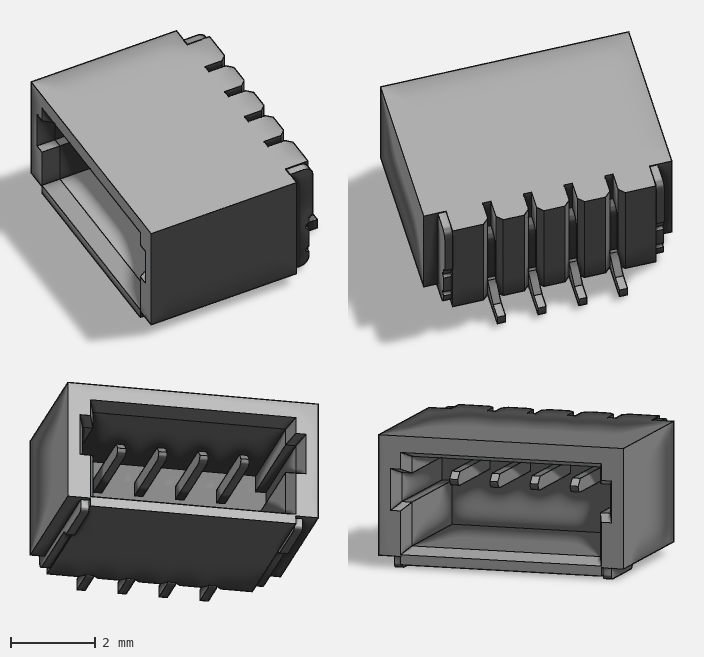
import cadquery as cq


width = 6.1
total_height = 3.2
shell_depth = 3.9
shell_bottom = 0.3
core_half_width = 2.5
core_bottom = 0.1
core_depth = 4.495

roof_thickness = 0.395
cavity_bottom = 0.34
cavity_back = shell_depth - roof_thickness
key_half_width = 2.75
key_top = 2.405
key_bottom = 1.395
taper_inset = 0.15
taper_depth = 0.4

contact_count = 4
contact_pitch = 1.0
contact_thickness = 0.2
beam_top = 2.21
beam_height = 0.33
beam_tip = 1.0
nose_radius = beam_height / 2
leg_back = 4.26
bend_radius = 0.2
web_back = 4.345
web_top = 0.635
foot_end = 5.22
foot_top = 0.325
foot_bottom = 0.055
foot_slope_end = 4.845
slot_chamfer = 0.14

clip_thickness = 0.2
clip_front = 0.145
clip_back = 4.52
clip_top = 3.18
clip_underside = 0.14
clip_radius = 0.25
clip_edge_step = 0.105
clip_step_top = 1.685
clip_foot_end = 1.685
clip_foot_slope_end = 1.87
clip_foot_radius = 0.1
notch_radius = 0.085
notch_heights = (1.325, 0.6)


def block(half_width, y_start, y_end, z_start, z_end):
    """Box centred on X = 0."""
    return cq.Workplane("XY").box(
        2 * half_width, y_end - y_start, z_end - z_start, centered=(True, False, False)
    ).translate((0, y_start, z_start))


def plate(profile, x_start, thickness):
    """Thin upright plate: a closed profile in the YZ plane, extruded along +X."""
    return profile.close().extrude(thickness).translate((x_start, 0, 0))


def cavity_outline(inset):
    """Corners of the keyed cavity section, moved inward by the given inset."""
    side = core_half_width - inset
    key_side = key_half_width - inset
    right = [
        (side, cavity_bottom + inset),
        (side, key_bottom + inset),
        (key_side, key_bottom + inset),
        (key_side, key_top - inset),
        (side, key_top - inset),
        (side, total_height - roof_thickness - inset),
    ]
    left = [(-x, z) for x, z in reversed(right)]
    return right + left


def make_cavity():
    """Tapered mouth followed by a straight keyed pocket."""
    mouth = (
        cq.Workplane("XZ")
        .polyline(cavity_outline(0)).close()
        .workplane(offset=-taper_depth)
        .polyline(cavity_outline(taper_inset)).close()
        .loft(ruled=True)
    )
    pocket = (
        cq.Workplane("XZ", origin=(0, taper_depth, 0))
        .polyline(cavity_outline(taper_inset)).close()
        .extrude(taper_depth - cavity_back)
    )
    return mouth.union(pocket)


def make_slot(x):
    """Full-height contact slot in the back of the housing, with a flared opening."""
    half = contact_thickness / 2
    flare = half + slot_chamfer
    flare_start = core_depth - slot_chamfer
    return (
        cq.Workplane("XY")
        .polyline([
            (x - half, shell_depth),
            (x + half, shell_depth),
            (x + half, flare_start),
            (x + flare, core_depth),
            (x - flare, core_depth),
            (x - half, flare_start),
        ])
        .close()
        .extrude(total_height)
    )


def make_contact(x):
    """Flat contact: beam with a ramped and rounded nose in the cavity, leg in the slot, foot behind."""
    beam_bottom = beam_top - beam_height
    foot_radius = core_bottom - foot_bottom
    profile = (
        cq.Workplane("YZ")
        .moveTo(beam_tip + nose_radius, beam_top)
        .lineTo(leg_back - bend_radius, beam_top)
        .radiusArc((leg_back, beam_top - bend_radius), bend_radius)
        .lineTo(leg_back, web_top)
        .lineTo(web_back, web_top)
        .lineTo(foot_slope_end, foot_top)
        .lineTo(foot_end, foot_top)
        .lineTo(foot_end, foot_bottom)
        .lineTo(web_back + foot_radius, foot_bottom)
        .radiusArc((web_back, core_bottom), foot_radius)
        .lineTo(shell_depth, core_bottom)
        .lineTo(shell_depth, beam_bottom)
        .lineTo(beam_tip + nose_radius, beam_bottom)
        .radiusArc((beam_tip, beam_top - nose_radius), nose_radius)
    )
    return plate(profile, x - contact_thickness / 2, contact_thickness)


def make_clip(x_start):
    """Retention clip under the shell and up its back, with two notches in the back edge."""
    edge = clip_back - clip_edge_step
    profile = (
        cq.Workplane("YZ")
        .moveTo(shell_depth, shell_bottom)
        .lineTo(shell_depth, clip_top)
        .lineTo(clip_back - clip_radius, clip_top)
        .radiusArc((clip_back, clip_top - clip_radius), clip_radius)
        .lineTo(clip_back, clip_step_top)
        .lineTo(edge, clip_step_top - clip_edge_step)
    )
    for z in notch_heights:
        profile = (
            profile.lineTo(edge, z + notch_radius)
            .threePointArc((edge - notch_radius, z), (edge, z - notch_radius))
        )
    profile = (
        profile.lineTo(edge, clip_underside + clip_radius)
        .radiusArc((edge - clip_radius, clip_underside), clip_radius)
        .lineTo(clip_foot_slope_end, clip_underside)
        .lineTo(clip_foot_end, 0)
        .lineTo(clip_front + clip_foot_radius, 0)
        .radiusArc((clip_front, clip_foot_radius), clip_foot_radius)
        .lineTo(clip_front, shell_bottom)
    )
    return plate(profile, x_start, clip_thickness)


result = block(width / 2, 0, shell_depth, shell_bottom, total_height)
result = result.union(block(core_half_width, 0, core_depth, core_bottom, total_height))
result = result.cut(make_cavity())

for index in range(contact_count):
    contact_x = (index - (contact_count - 1) / 2) * contact_pitch
    result = result.cut(make_slot(contact_x)).union(make_contact(contact_x))

for clip_x in (-core_half_width - clip_thickness, core_half_width):
    result = result.union(make_clip(clip_x))